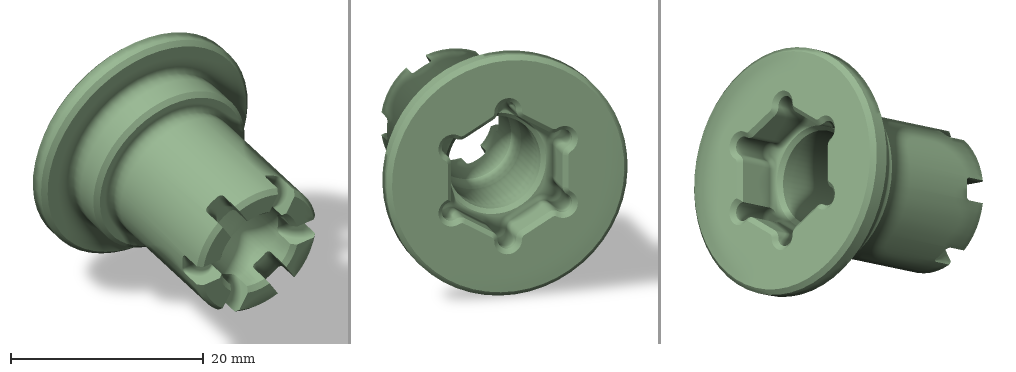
import cadquery as cq
import math

length = 23.0
edge_break = 0.5

flange_radius = 13.0
flange_thickness = 2.5
collar_radius = 9.52
collar_end = 7.02
tube_radius = 7.55

socket_depth = 5.0
socket_half_flats = 6.0
corner_count = 6
corner_step = 360 / corner_count
lobe_radius = socket_half_flats / 6
sharp_corner = 4

bore_mouth_radius = 5.45
bore_entry_radius = 5.0
bore_exit_radius = 4.5
dome_centre = 13.0

slot_count = 6
slot_width = 2.42
slot_depth = 3.0


def make_body():
    """Flange, collar and tube as one revolved solid."""
    body = (
        cq.Workplane("XZ")
        .moveTo(0, 0)
        .lineTo(0, flange_radius - edge_break)
        .lineTo(edge_break, flange_radius)
        .lineTo(flange_thickness - edge_break, flange_radius)
        .lineTo(flange_thickness, flange_radius - edge_break)
        .lineTo(flange_thickness, collar_radius + edge_break)
        .radiusArc((flange_thickness + edge_break, collar_radius), -edge_break)
        .lineTo(collar_end - edge_break, collar_radius)
        .lineTo(collar_end, collar_radius - edge_break)
        .lineTo(collar_end, tube_radius + edge_break)
        .radiusArc((collar_end + edge_break, tube_radius), -edge_break)
        .lineTo(length - edge_break, tube_radius)
        .lineTo(length, tube_radius - edge_break)
        .lineTo(length, 0)
        .close()
    )
    return body.revolve(360, (0, 0, 0), (1, 0, 0))


def make_bore():
    """Stepped through bore, rounded in spherically at the step and chamfered at both ends."""
    mouth_end = socket_depth + bore_mouth_radius - bore_entry_radius
    dome_end = dome_centre + math.sqrt(bore_entry_radius**2 - bore_exit_radius**2)
    bore = (
        cq.Workplane("XZ")
        .moveTo(0, 0)
        .lineTo(0, bore_mouth_radius)
        .lineTo(socket_depth, bore_mouth_radius)
        .lineTo(mouth_end, bore_entry_radius)
        .lineTo(dome_centre, bore_entry_radius)
        .radiusArc((dome_end, bore_exit_radius), bore_entry_radius)
        .lineTo(length - edge_break, bore_exit_radius)
        .lineTo(length, bore_exit_radius + edge_break)
        .lineTo(length, 0)
        .close()
    )
    return bore.revolve(360, (0, 0, 0), (1, 0, 0))


def turned(point, angle):
    """Turn a (y, z) point about the X axis by an angle in degrees."""
    y, z = point
    c = math.cos(math.radians(angle))
    s = math.sin(math.radians(angle))
    return (y * c - z * s, y * s + z * c)


def make_socket():
    """Hexagonal pocket with a round lobe centred on each corner and a filleted floor."""
    half_step = math.radians(corner_step / 2)
    corner = socket_half_flats / math.cos(half_step)
    blend_centre = 2 * lobe_radius

    def on_blend(angle):
        """Point on the blend arc beside the upper lobe, on the +Y side."""
        a = math.radians(angle)
        return (blend_centre + lobe_radius * math.cos(a), corner + lobe_radius * math.sin(a))

    flat_end = on_blend(240)
    blend_middle = on_blend(210)
    lobe_side = (lobe_radius, corner)
    lobe_top = (0, corner + lobe_radius)

    def mirrored(point):
        return (-point[0], point[1])

    sharp_end = (-lobe_radius * math.cos(half_step), corner - lobe_radius * math.sin(half_step))

    outline = cq.Workplane("YZ").moveTo(*flat_end)
    for corner_index in range(corner_count):
        angle = corner_step * corner_index
        if corner_index > 0:
            outline = outline.lineTo(*turned(flat_end, angle))
        outline = outline.threePointArc(turned(blend_middle, angle), turned(lobe_side, angle))
        if corner_index == sharp_corner:
            outline = outline.threePointArc(turned(lobe_top, angle), turned(sharp_end, angle))
        else:
            outline = (
                outline
                .threePointArc(turned(lobe_top, angle), turned(mirrored(lobe_side), angle))
                .threePointArc(turned(mirrored(blend_middle), angle), turned(mirrored(flat_end), angle))
            )
    return outline.close().extrude(socket_depth).faces(">X").edges().fillet(edge_break)


def make_slot(angle):
    """Radial slot in the tube end with rounded bottom corners, pointing along +Y turned by angle."""
    slot = (
        cq.Workplane("XY")
        .box(slot_depth, tube_radius, slot_width, centered=(False, False, True))
        .faces("<X")
        .edges("|Y")
        .fillet(edge_break)
    )
    return slot.translate((length - slot_depth, 0, 0)).rotate((0, 0, 0), (1, 0, 0), angle)


body = make_body().cut(make_socket())
socket_mouth = body.faces("<X").val().innerWires()[0]
body = body.newObject(socket_mouth.Edges()).chamfer(edge_break)

result = body.cut(make_bore())
for slot_index in range(slot_count):
    result = result.cut(make_slot(slot_index * 360 / slot_count))